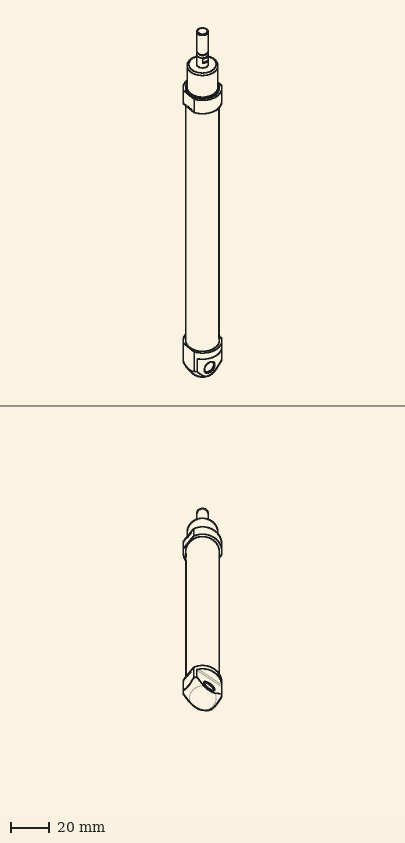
import cadquery as cq
import math

total_length = 231.0
neck_top = 208.5
front_collar_top = 192.7
front_collar_bottom = 183.6
rear_collar_top = 22.2
shoulder_height = 18.0

neck_diameter = 16.0
neck_chamfer = 1.0
neck_step_height = 0.5
tube_diameter = 17.3
collar_diameter = 20.0
collar_flats = 18.0

tang_thickness = 12.0
pivot_height = 8.0
pivot_diameter = 6.0
pivot_chamfer = 0.5
rim_margin = 0.2
shoulder_fillet = 0.7
nose_radius = 8.0
nose_cone_angle = 59.0

rod_diameter = 6.0
rod_chamfer = 0.5
relief_diameter = 4.2
relief_top = 217.4
relief_bottom = 215.3
wrench_flats = 4.9
wrench_flats_top = 214.8
wrench_flats_bottom = 211.8


def cylinder(diameter, bottom, top):
    """Upright cylinder between two heights."""
    return cq.Workplane("XY").workplane(offset=bottom).circle(diameter / 2).extrude(top - bottom)


def flatted_collar(blank):
    """Trim a round blank to the two wrench flats facing -Y and +Y."""
    slab = cq.Workplane("XY").box(collar_diameter, collar_flats, total_length, centered=(True, True, False))
    return blank.intersect(slab)


def rear_blank():
    """Rear end before trimming: a collar whose cone runs into a spherical nose."""
    angle = math.radians(nose_cone_angle)
    collar_radius = collar_diameter / 2
    tangent_radius = nose_radius * math.sin(angle)
    tangent_height = nose_radius * (1 - math.cos(angle))
    cone_top = tangent_height + (collar_radius - tangent_radius) * math.tan(angle)
    arc_middle = (nose_radius * math.sin(angle / 2), nose_radius * (1 - math.cos(angle / 2)))
    return (
        cq.Workplane("XZ")
        .moveTo(0, 0)
        .threePointArc(arc_middle, (tangent_radius, tangent_height))
        .lineTo(collar_radius, cone_top)
        .lineTo(collar_radius, rear_collar_top)
        .lineTo(0, rear_collar_top)
        .close()
        .revolve(360, (0, 0, 0), (0, 1, 0))
    )


def pivot_rims():
    """Select the edges around both mouths of the pivot hole."""
    reach = pivot_diameter / 2 + rim_margin
    return cq.selectors.BoxSelector(
        (-tang_thickness, -reach, pivot_height - reach),
        (tang_thickness, reach, pivot_height + reach),
        boundingbox=True,
    )


def rear_tang():
    """Rear collar with the flat tang below it, drilled along X for the pivot."""
    tang = flatted_collar(rear_blank())
    cut_depth = collar_diameter / 2
    for side in (-1, 1):
        side_cut = (
            cq.Workplane("XY")
            .box(cut_depth, 2 * collar_diameter, shoulder_height, centered=(True, True, False))
            .translate((side * (tang_thickness + cut_depth) / 2, 0, 0))
        )
        inner_top_edge = side_cut.faces(">Z").edges("<X" if side > 0 else ">X")
        tang = tang.cut(inner_top_edge.fillet(shoulder_fillet))
    pivot_hole = (
        cq.Workplane("YZ")
        .center(0, pivot_height)
        .circle(pivot_diameter / 2)
        .extrude(collar_diameter / 2, both=True)
    )
    tang = tang.cut(pivot_hole)
    return tang.edges(pivot_rims()).chamfer(pivot_chamfer)


def make_housing():
    """Cylinder housing: neck with a low step at its foot, front collar, tube and rear tang."""
    neck = cylinder(neck_diameter, front_collar_top, neck_top).faces(">Z").chamfer(neck_chamfer)
    neck_step = cylinder(tube_diameter, front_collar_top, front_collar_top + neck_step_height)
    front_collar = flatted_collar(cylinder(collar_diameter, front_collar_bottom, front_collar_top))
    tube = cylinder(tube_diameter, rear_collar_top, front_collar_bottom)
    return rear_tang().union(tube).union(front_collar).union(neck_step).union(neck)


def relief_groove():
    """Ring-shaped groove with 45-degree flanks, narrowing towards the relief diameter."""
    rod_radius = rod_diameter / 2
    relief_radius = relief_diameter / 2
    flank = rod_radius - relief_radius
    return (
        cq.Workplane("XZ")
        .moveTo(rod_radius, relief_bottom)
        .lineTo(relief_radius, relief_bottom + flank)
        .lineTo(relief_radius, relief_top - flank)
        .lineTo(rod_radius, relief_top)
        .close()
        .revolve(360, (0, 0, 0), (0, 1, 0))
    )


def make_rod():
    """Piston rod standing on the neck, with a relief groove and two wrench flats facing -X and +X."""
    rod = cylinder(rod_diameter, neck_top, total_length).faces(">Z").chamfer(rod_chamfer)
    rod = rod.cut(relief_groove())
    flats_height = wrench_flats_top - wrench_flats_bottom
    cut_depth = rod_diameter / 2
    for side in (-1, 1):
        flat_cut = (
            cq.Workplane("XY")
            .box(cut_depth, rod_diameter, flats_height, centered=(True, True, False))
            .translate((side * (wrench_flats + cut_depth) / 2, 0, wrench_flats_bottom))
        )
        rod = rod.cut(flat_cut)
    return rod


housing = make_housing()
rod = make_rod()

result = cq.Compound.makeCompound([housing.val(), rod.val()])